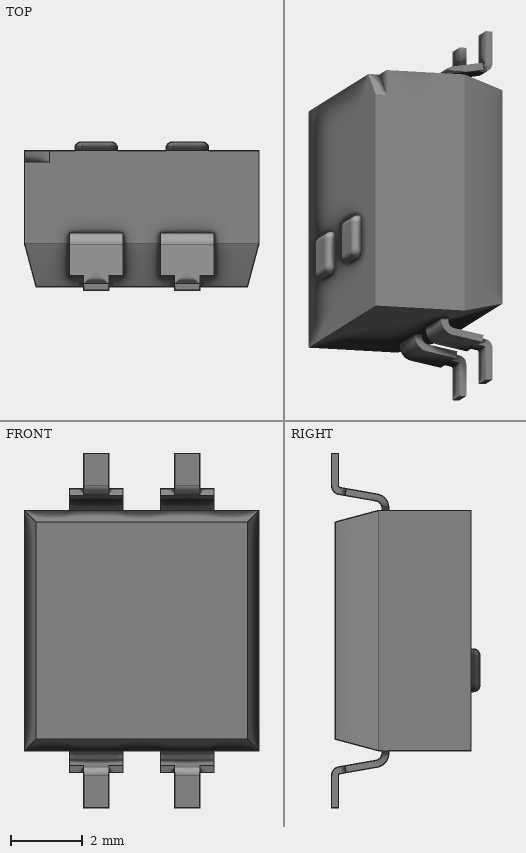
import cadquery as cq
import math

overall_height = 9.9

body_width = 6.55
body_height = 6.71
body_depth = 3.8
standoff = 0.1
taper_depth = 1.21
taper_angle = 15.0
body_front = standoff
body_back = body_front + body_depth
taper_start = body_front + taper_depth

notch_leg = 0.7
notch_depth = 0.32

lead_pitch = 2.54
lead_thickness = 0.2
shoulder_width = 1.5
foot_width = 0.7
lead_root_y = 1.5
lead_embed = 0.2
root_straight = 0.07
lead_slope = 10.0
root_bend_radius = 0.3
foot_bend_radius = 0.15
shoulder_setback = 0.18
lead_columns = (-lead_pitch / 2, lead_pitch / 2)

pad_size = 1.2
pad_height = 0.25
pad_corner_radius = 0.2
pad_edge_radius = 0.19
pad_center_z = -1.11


def make_body():
    block = (
        cq.Workplane("XZ", origin=(0, body_back, 0))
        .rect(body_width, body_height)
        .extrude(body_back - taper_start)
    )
    front = (
        cq.Workplane("XZ", origin=(0, taper_start, 0))
        .rect(body_width, body_height)
        .extrude(taper_depth, taper=taper_angle)
    )
    return block.union(front)


def make_notch():
    """Triangular prism that bevels the corner over a short depth."""
    side = -body_width / 2
    top = body_height / 2
    return (
        cq.Workplane("XZ", origin=(0, body_back, 0))
        .polyline([(side, top), (side + notch_leg, top), (side, top - notch_leg)])
        .close()
        .extrude(notch_depth)
    )


def make_pad(x):
    return (
        cq.Workplane("XZ", origin=(x, body_back, pad_center_z))
        .rect(pad_size, pad_size)
        .extrude(-pad_height)
        .edges("|Y")
        .fillet(pad_corner_radius)
        .faces(">Y")
        .edges()
        .fillet(pad_edge_radius)
    )


def make_upper_lead(x):
    """Wide shoulder out of the body, narrowing to a foot that lies on Y = 0."""
    slope = math.radians(lead_slope)
    bend_run = 1 - math.sin(slope)
    bend_rise = math.cos(slope)

    root = (lead_root_y, body_height / 2 - lead_embed)
    root_bend_start = (lead_root_y, body_height / 2 + root_straight)
    slope_start = (
        root_bend_start[0] - root_bend_radius * bend_run,
        root_bend_start[1] + root_bend_radius * bend_rise,
    )
    foot_y = lead_thickness / 2
    slope_end_y = foot_y + foot_bend_radius * bend_run
    slope_end = (slope_end_y, slope_start[1] + (slope_start[0] - slope_end_y) * math.tan(slope))
    foot_start = (foot_y, slope_end[1] + foot_bend_radius * bend_rise)
    tip = (foot_y, overall_height / 2)
    shoulder_end = (
        slope_end[0] + shoulder_setback * math.cos(slope),
        slope_end[1] - shoulder_setback * math.sin(slope),
    )

    def sweep_strip(width, path):
        section = cq.Workplane("XY", origin=(x, root[0], root[1])).rect(width, lead_thickness)
        return section.sweep(path)

    def start_path():
        return (
            cq.Workplane("YZ", origin=(x, 0, 0))
            .moveTo(*root)
            .lineTo(*root_bend_start)
            .tangentArcPoint(slope_start, relative=False)
        )

    shoulder_path = start_path().lineTo(*shoulder_end)
    foot_path = (
        start_path()
        .lineTo(*slope_end)
        .tangentArcPoint(foot_start, relative=False)
        .lineTo(*tip)
    )
    shoulder = sweep_strip(shoulder_width, shoulder_path)
    return shoulder.union(sweep_strip(foot_width, foot_path))


result = make_body().cut(make_notch())
for column_x in lead_columns:
    upper_lead = make_upper_lead(column_x)
    result = result.union(upper_lead).union(upper_lead.mirror("XY"))
    result = result.union(make_pad(column_x))